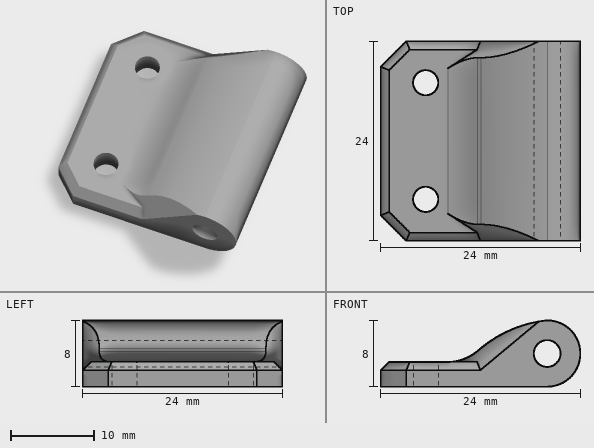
import cadquery as cq
import math

length = 24.0
width = 24.0
barrel_radius = length / 6
barrel_x = length - barrel_radius
pin_diameter = 3.2

plate_thickness = 3.0
plate_end_x = 14.4
plate_edge_chamfer = 1.0
plate_corner_cut = 3.07
screw_diameter = 3.0
screw_x = 5.4
screw_edge_distance = 5.0

slope_angle = math.radians(39.8)
slope_cos = math.cos(slope_angle)
slope_sin = math.sin(slope_angle)
slope_foot_x = 10.05
fillet_setback = 2.0
slope_end_x = 12.02

bevel_size = 2.0
bevel_reach = 9.6
bevel_run = 24.0


def make_plate():
    plate = (
        cq.Workplane("XY")
        .moveTo(plate_end_x, 0)
        .lineTo(plate_corner_cut, 0)
        .lineTo(0, plate_corner_cut)
        .lineTo(0, width - plate_corner_cut)
        .lineTo(plate_corner_cut, width)
        .lineTo(plate_end_x, width)
        .close()
        .extrude(plate_thickness)
    )
    margin = 0.25
    rim = plate.faces(">Z").edges(cq.selectors.BoxSelector(
        (-margin, -margin, plate_thickness - margin),
        (plate_end_x - margin, width + margin, plate_thickness + margin),
    ))
    return rim.chamfer(plate_edge_chamfer)


def make_knuckle():
    fillet_start_x = slope_foot_x - fillet_setback
    slope_start = (
        slope_foot_x + fillet_setback * slope_cos,
        plate_thickness + fillet_setback * slope_sin,
    )
    slope_end_z = plate_thickness + (slope_end_x - slope_foot_x) * math.tan(slope_angle)
    fillet_radius = fillet_setback / math.tan(slope_angle / 2)
    fillet_middle = (
        fillet_start_x + fillet_radius * math.sin(slope_angle / 2),
        plate_thickness + fillet_radius * (1 - math.cos(slope_angle / 2)),
    )
    return (
        cq.Workplane("XZ")
        .moveTo(fillet_start_x, 0)
        .lineTo(fillet_start_x, plate_thickness)
        .threePointArc(fillet_middle, slope_start)
        .lineTo(slope_end_x, slope_end_z)
        .tangentArcPoint((barrel_x, 2 * barrel_radius), relative=False)
        .threePointArc((length, barrel_radius), (barrel_x, 0))
        .close()
        .extrude(-width)
    )


def make_front_bevel():
    bevel_plane = cq.Plane(
        origin=(
            slope_foot_x + bevel_size * slope_sin,
            0,
            plate_thickness - bevel_size * slope_cos,
        ),
        xDir=(0, 1, 0),
        normal=(slope_cos, 0, slope_sin),
    )
    return (
        cq.Workplane(bevel_plane)
        .polyline([(0, 0), (bevel_reach, bevel_reach), (0, bevel_reach)])
        .close()
        .extrude(bevel_run, both=True)
    )


front_bevel = make_front_bevel()
back_bevel = front_bevel.mirror("XZ").translate((0, width, 0))
knuckle = make_knuckle().cut(front_bevel).cut(back_bevel)

screw_holes = (
    cq.Workplane("XY")
    .pushPoints([(screw_x, screw_edge_distance), (screw_x, width - screw_edge_distance)])
    .circle(screw_diameter / 2)
    .extrude(plate_thickness)
)
pin_hole = (
    cq.Workplane("XZ")
    .center(barrel_x, barrel_radius)
    .circle(pin_diameter / 2)
    .extrude(-width)
)

result = make_plate().union(knuckle).cut(screw_holes).cut(pin_hole)